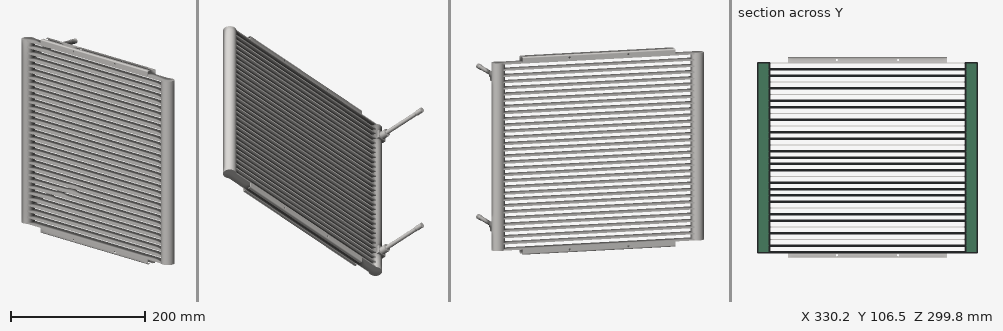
import cadquery as cq


overall_length = 330.2
overall_depth = 106.5
overall_height = 299.8

header_diameter = 20.0
header_x = (overall_length - header_diameter) / 2

angle_length = 237.7
angle_height = 8.0
angle_flange = 5.0
angle_thickness = 1.0
bend_radius = 2.0
hole_diameter = 3.2
hole_spacing = 91.5
hole_height = 3.5

tube_count = 31
tube_thickness = 2.0
tube_depth = 16.0
core_height = overall_height - 2 * angle_height
tube_pitch = (core_height - tube_thickness) / (tube_count - 1)

pipe_offset = 1.3
fitting_x = -header_x - pipe_offset
fitting_heights = (120.2, -108.0)
block_size = 14.2
block_start_y = 6.5
block_end_y = 13.2
collar_diameter = 12.0
collar_end_y = 23.0
pipe_diameter = 6.3
tip_diameter = 7.5
tip_start_y = 83.2
tip_end_y = overall_depth - header_diameter / 2
tip_taper = 2.3


def header(x):
    """Solid round post as tall as the core."""
    post = cq.Workplane("XY").circle(header_diameter / 2).extrude(core_height)
    return post.translate((x, 0, -core_height / 2))


def flat_tube(z):
    """Flat tube that ends on the header axes."""
    return cq.Workplane("XY").box(2 * header_x, tube_depth, tube_thickness).translate((0, 0, z))


def front_top_angle():
    """Bent angle on the front edge of the top tube, with its flange turned inwards."""
    base_z = core_height / 2
    outer_y = -tube_depth / 2
    bar = (
        cq.Workplane("YZ")
        .moveTo(outer_y, base_z)
        .lineTo(outer_y, base_z + angle_height)
        .lineTo(outer_y + angle_flange, base_z + angle_height)
        .lineTo(outer_y + angle_flange, base_z + angle_height - angle_thickness)
        .lineTo(outer_y + angle_thickness, base_z + angle_height - angle_thickness)
        .lineTo(outer_y + angle_thickness, base_z)
        .close()
        .extrude(angle_length / 2, both=True)
    )
    outer_corner = cq.selectors.NearestToPointSelector((0, outer_y, base_z + angle_height))
    bar = bar.edges(outer_corner).fillet(bend_radius)
    inner_corner = cq.selectors.NearestToPointSelector(
        (0, outer_y + angle_thickness, base_z + angle_height - angle_thickness)
    )
    bar = bar.edges(inner_corner).fillet(bend_radius - angle_thickness)
    holes = (
        cq.Workplane("XZ")
        .pushPoints([(side * hole_spacing / 2, base_z + hole_height) for side in (-1, 1)])
        .circle(hole_diameter / 2)
        .extrude(tube_depth, both=True)
    )
    return bar.cut(holes)


def fitting(z):
    """Block, collar and pipe with a tapered tip, pointing to +Y."""
    block = cq.Workplane("XY").box(
        block_size, block_end_y - block_start_y, block_size, centered=(True, False, True)
    )
    block = block.translate((fitting_x, block_start_y, z))
    profile = [
        (0, block_start_y),
        (collar_diameter / 2, block_start_y),
        (collar_diameter / 2, collar_end_y),
        (pipe_diameter / 2, collar_end_y),
        (pipe_diameter / 2, tip_start_y),
        (tip_diameter / 2, tip_start_y + tip_taper),
        (tip_diameter / 2, tip_end_y),
        (0, tip_end_y),
    ]
    pipe = cq.Workplane("XY").polyline(profile).close().revolve(360, (0, 0), (0, 1))
    return block.union(pipe.translate((fitting_x, 0, z)))


result = header(-header_x).union(header(header_x))

for index in range(tube_count):
    result = result.union(flat_tube((index - (tube_count - 1) / 2) * tube_pitch))

top_angle = front_top_angle()
top_angles = top_angle.union(top_angle.mirror("XZ"))
result = result.union(top_angles).union(top_angles.mirror("XY"))

for height in fitting_heights:
    result = result.union(fitting(height))